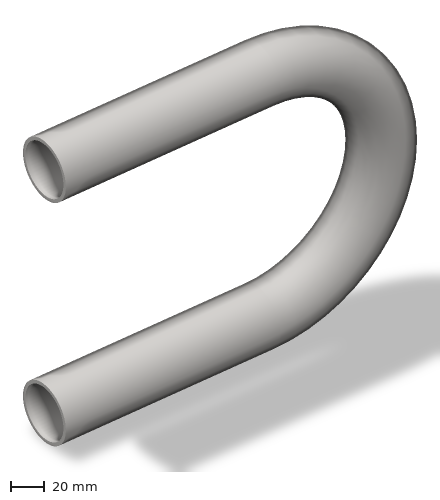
import cadquery as cq

overall_length = 269.7
outer_diameter = 42.3
inner_diameter = 37.5
bend_radius = 90.0

leg_length = overall_length - bend_radius - outer_diameter / 2

centreline = (
    cq.Workplane("YZ")
    .moveTo(-leg_length, bend_radius)
    .lineTo(0, bend_radius)
    .threePointArc((bend_radius, 0), (0, -bend_radius))
    .lineTo(-leg_length, -bend_radius)
)

cross_section = (
    cq.Workplane("XZ", origin=(0, -leg_length, bend_radius))
    .circle(outer_diameter / 2)
    .circle(inner_diameter / 2)
)

result = cross_section.sweep(centreline)